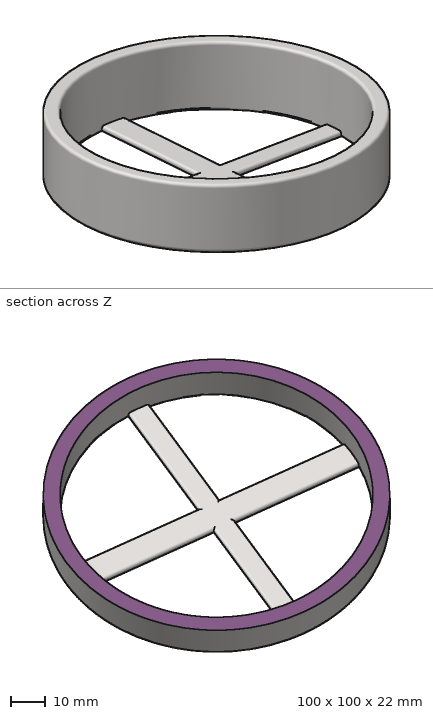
import cadquery as cq

outer_diameter = 100.0
inner_diameter = 90.0
height = 22.0
bar_x_width = 9.0
bar_y_width = 7.0
bar_thickness = 2.0
rim_fillet = 1.0
bottom_chamfer = 1.0
bevel_fillet = 1.0
bar_fillet = 0.9


def make_ring():
    """Ring with rounded rims and a blended bevel around the outer bottom rim."""
    outer_radius = outer_diameter / 2
    disc = cq.Workplane("XY").circle(outer_radius).extrude(height)
    disc = disc.faces("<Z").edges().chamfer(bottom_chamfer)
    bevel_top = cq.selectors.BoxSelector(
        (-outer_diameter, -outer_diameter, bottom_chamfer / 2),
        (outer_diameter, outer_diameter, height / 2),
        boundingbox=True,
    )
    disc = disc.edges(bevel_top).fillet(bevel_fillet)
    ring = disc.cut(cq.Workplane("XY").circle(inner_diameter / 2).extrude(height))
    ring = ring.faces(">Z").edges().fillet(rim_fillet)
    inner_rim = cq.selectors.RadiusNthSelector(0)
    return ring.faces("<Z").edges(inner_rim).fillet(rim_fillet)


def make_bar(length_x, length_y):
    """Flat bar centred on the ring axis, resting on the bottom plane."""
    return cq.Workplane("XY").box(length_x, length_y, bar_thickness, centered=(True, True, False))


def make_cross():
    """Two crossing bars with rounded long edges, ending inside the ring wall."""
    bar_length = (outer_diameter + inner_diameter) / 2
    cross = make_bar(bar_length, bar_x_width).union(make_bar(bar_y_width, bar_length))
    return cross.faces("<Z or >Z").edges().fillet(bar_fillet)


result = make_ring().union(make_cross())